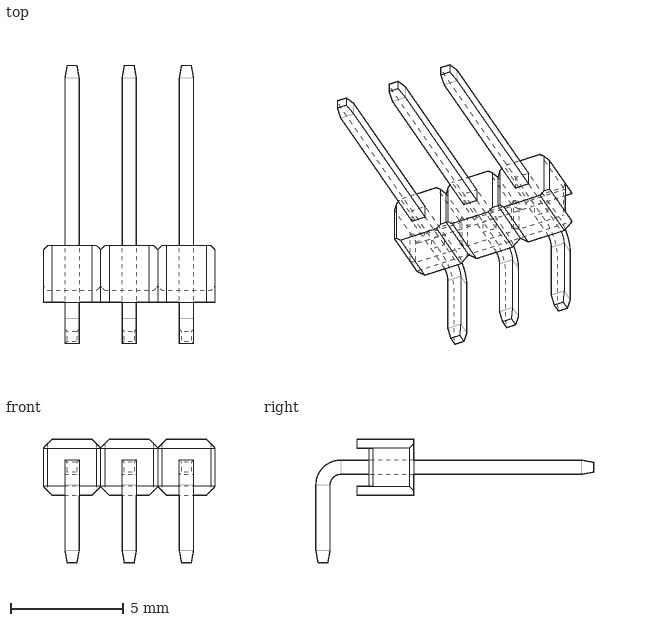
import cadquery as cq


PIN_COUNT = 3
HOUSING_WIDTH = 7.63
PITCH = HOUSING_WIDTH / PIN_COUNT
HOUSING_DEPTH = 2.53
HOUSING_HEIGHT = 2.5
FLANGE_CHAMFER = 0.38
CORNER_CHAMFER = 0.19
FLANGE_LAND = 0.02
FLANGE_OVERHANG = 0.53
NOTCH_HEIGHT = HOUSING_HEIGHT - 2 * (FLANGE_CHAMFER + FLANGE_LAND)

TOTAL_LENGTH = 12.36
TOTAL_HEIGHT = 5.5
PIN_SIZE = 0.64
TIP_SIZE = 0.45
TIP_LENGTH = 0.56
REAR_REACH = 8.0
BEND_OUTER_RADIUS = 1.11
BEND_RADIUS = BEND_OUTER_RADIUS - PIN_SIZE / 2
LEG_Y = REAR_REACH - TOTAL_LENGTH + PIN_SIZE / 2
TAIL_Z = HOUSING_HEIGHT / 2 - TOTAL_HEIGHT

PIN_POSITIONS = [(i - (PIN_COUNT - 1) / 2) * PITCH for i in range(PIN_COUNT)]


def make_cell():
    """One housing cell, centred on X = 0, without its pin hole."""
    half = PITCH / 2
    front = -HOUSING_DEPTH
    core_front = front + FLANGE_OVERHANG

    cell = (
        cq.Workplane("XY")
        .box(PITCH, HOUSING_DEPTH, HOUSING_HEIGHT)
        .translate((0, -HOUSING_DEPTH / 2, 0))
        .edges("|Y")
        .chamfer(FLANGE_CHAMFER)
    )

    rear_bevelled_outline = (
        cq.Workplane("XY")
        .polyline([
            (-half, front),
            (half, front),
            (half, -CORNER_CHAMFER),
            (half - CORNER_CHAMFER, 0),
            (-half + CORNER_CHAMFER, 0),
            (-half, -CORNER_CHAMFER),
        ])
        .close()
        .extrude(HOUSING_HEIGHT / 2, both=True)
    )

    notch = (
        cq.Workplane("XY")
        .polyline([
            (-half, front),
            (half, front),
            (half, core_front + CORNER_CHAMFER),
            (half - CORNER_CHAMFER, core_front),
            (-half + CORNER_CHAMFER, core_front),
            (-half, core_front + CORNER_CHAMFER),
        ])
        .close()
        .extrude(NOTCH_HEIGHT / 2, both=True)
    )
    return cell.intersect(rear_bevelled_outline).cut(notch)


def make_housing():
    """Cells joined side by side, with a square through hole for each pin."""
    cell = make_cell()
    housing = cell.translate((PIN_POSITIONS[0], 0, 0))
    for x in PIN_POSITIONS[1:]:
        housing = housing.union(cell.translate((x, 0, 0)))
    for x in PIN_POSITIONS:
        hole = cq.Workplane("XY").box(PIN_SIZE, 2 * HOUSING_DEPTH, PIN_SIZE)
        housing = housing.cut(hole.translate((x, -HOUSING_DEPTH / 2, 0)))
    return housing.solids()


def make_tip(base_plane):
    """Tapered square tip growing from the base plane along its normal."""
    return (
        cq.Workplane(base_plane)
        .rect(PIN_SIZE, PIN_SIZE)
        .workplane(offset=TIP_LENGTH)
        .rect(TIP_SIZE, TIP_SIZE)
        .loft()
    )


def make_pin(x):
    """Square wire bent down at a right angle, with a tapered tip at each end."""
    rear_end = (x, REAR_REACH - TIP_LENGTH, 0)
    tail_end = (x, LEG_Y, TAIL_Z + TIP_LENGTH)
    bend_start = (x, LEG_Y + BEND_RADIUS, 0)
    bend_end = (x, LEG_Y, -BEND_RADIUS)

    rear_plane = cq.Plane(origin=rear_end, xDir=(1, 0, 0), normal=(0, 1, 0))
    tail_plane = cq.Plane(origin=tail_end, xDir=(1, 0, 0), normal=(0, 0, -1))

    centre_line = cq.Wire.assembleEdges([
        cq.Edge.makeLine(cq.Vector(rear_end), cq.Vector(bend_start)),
        cq.Edge.makeTangentArc(cq.Vector(bend_start), cq.Vector(0, -1, 0), cq.Vector(bend_end)),
        cq.Edge.makeLine(cq.Vector(bend_end), cq.Vector(tail_end)),
    ])
    square = cq.Workplane(rear_plane).rect(PIN_SIZE, PIN_SIZE)
    wire = square.sweep(cq.Workplane(centre_line), clean=False)
    pin = wire.union(make_tip(rear_plane), clean=False).union(make_tip(tail_plane), clean=False)
    return pin.solids()


housing = make_housing()
pins = [make_pin(x).val() for x in PIN_POSITIONS]

result = cq.Compound.makeCompound([housing.val(), *pins])